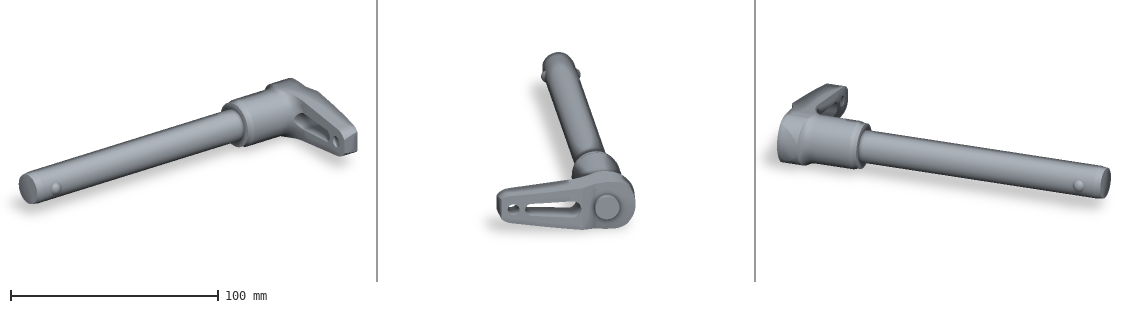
import cadquery as cq
import math

total_length = 166.2

pin_radius = 8.0
tip_radius = 7.5
tip_length = 3.5
ball_radius = 3.2
ball_reach = 9.6
ball_y = 11.0

collar_radius = 11.8
collar_end_radius = 11.1
collar_start_y = 124.2
collar_chamfer_y = 125.8
collar_body_y = 127.6
flare_start_y = 147.6
flare_radius = 5.8
flare_outer_radius = collar_radius + flare_radius
flare_top_y = flare_start_y + flare_radius

handle_width = 24.8
half_width = handle_width / 2
head_back_x = -15.1
head_arc_end_x = -4.2
blend_start_x = -1.3
head_top_y = 163.0
back_top_y = 163.7
back_bottom_y = 152.7
back_top_radius = 14.1
arm_end_x = 52.0
arm_end_top_x = 50.7
arm_end_half_width = 3.5
corner_bulge_x = 0.5
corner_bulge_z = 0.7
taper_start_x = 1.2
taper_start_half_width = 12.3
taper_end_x = 46.4
taper_end_half_width = 7.1
arm_end_y = 151.5
underside_end_x = 51.0
underside_back_y = 155.0
crest_x = 12.1
crest_y = 165.5
ramp_x = 5.8
arm_end_top_y = 160.4
arm_bulge_point = (31.5, 163.5)

slot_back_x = 12.6
slot_front_x = 39.5
slot_back_radius = 4.3
slot_front_radius = 3.2
hole_x = 45.0
hole_radius = 2.8

button_diameter = 11.8


def revolve_about_pin(sketch):
    """Close a (radius, y) outline and turn it about the pin axis."""
    return sketch.close().revolve(360, (0, 0, 0), (0, 1, 0))


def extrude_plan(sketch):
    """Close an (x, z) outline and extrude it along the full pin length."""
    return sketch.close().extrude(-total_length)


def make_pin():
    pin = revolve_about_pin(
        cq.Workplane("XY")
        .lineTo(tip_radius, 0)
        .lineTo(pin_radius, tip_length)
        .lineTo(pin_radius, collar_body_y)
        .lineTo(0, collar_body_y)
    )
    ball_x = ball_reach - ball_radius
    for side in (-1, 1):
        ball = cq.Workplane("XY").sphere(ball_radius).translate((side * ball_x, ball_y, 0))
        pin = pin.union(ball)
    return pin


def make_collar():
    return revolve_about_pin(
        cq.Workplane("XY")
        .moveTo(0, collar_start_y)
        .lineTo(collar_end_radius, collar_start_y)
        .lineTo(collar_end_radius, collar_chamfer_y)
        .lineTo(collar_radius, collar_body_y)
        .lineTo(collar_radius, flare_top_y)
        .lineTo(0, flare_top_y)
    )


def make_flare():
    """Concave quarter-round that joins the collar to the handle, continued up into the arm."""
    inset = flare_radius * math.sqrt(0.5)
    return revolve_about_pin(
        cq.Workplane("XY")
        .moveTo(0, flare_start_y)
        .lineTo(collar_radius, flare_start_y)
        .threePointArc(
            (flare_outer_radius - inset, flare_start_y + inset),
            (flare_outer_radius, flare_top_y),
        )
        .lineTo(flare_outer_radius, underside_back_y)
        .lineTo(0, underside_back_y)
    )


def make_plan():
    """Handle outline: round head, tapering arm and rounded arm end."""
    blend_middle_x = (blend_start_x + taper_start_x) / 2
    blend_half_width = half_width - (half_width - taper_start_half_width) / 4
    corner = (
        (taper_end_x + arm_end_x) / 2 + corner_bulge_x,
        (taper_end_half_width + arm_end_half_width) / 2 + corner_bulge_z,
    )
    return extrude_plan(
        cq.Workplane("XZ")
        .moveTo(head_arc_end_x, -half_width)
        .threePointArc((head_back_x, 0), (head_arc_end_x, half_width))
        .lineTo(blend_start_x, half_width)
        .threePointArc((blend_middle_x, blend_half_width), (taper_start_x, taper_start_half_width))
        .lineTo(taper_end_x, taper_end_half_width)
        .threePointArc(corner, (arm_end_x, arm_end_half_width))
        .lineTo(arm_end_x, -arm_end_half_width)
        .threePointArc((corner[0], -corner[1]), (taper_end_x, -taper_end_half_width))
        .lineTo(taper_start_x, -taper_start_half_width)
        .threePointArc((blend_middle_x, -blend_half_width), (blend_start_x, -half_width))
    )


def make_side_profile():
    """Handle outline seen across its width, with the raised crest behind the head."""
    return (
        cq.Workplane("XY")
        .moveTo(head_back_x, underside_back_y)
        .lineTo(underside_end_x, arm_end_y)
        .lineTo(arm_end_x, arm_end_y)
        .lineTo(arm_end_top_x, arm_end_top_y)
        .threePointArc(arm_bulge_point, (crest_x, crest_y))
        .lineTo(ramp_x, head_top_y)
        .lineTo(0, head_top_y)
        .lineTo(head_back_x, back_top_y)
        .close()
        .extrude(half_width, both=True)
    )


def make_back_cone():
    """Conical envelope that slopes the back of the head; the front half is left free."""
    cone = revolve_about_pin(
        cq.Workplane("XY")
        .moveTo(0, flare_start_y)
        .lineTo(-head_back_x, flare_start_y)
        .lineTo(-head_back_x, back_bottom_y)
        .lineTo(back_top_radius, back_top_y)
        .lineTo(0, back_top_y)
    )
    front = cq.Workplane("XZ").rect(arm_end_x, 2 * half_width).extrude(-total_length)
    return cone.union(front.translate((arm_end_x / 2, 0, 0)))


def make_slot():
    back_center = slot_back_x + slot_back_radius
    front_center = slot_front_x - slot_front_radius
    return extrude_plan(
        cq.Workplane("XZ")
        .moveTo(back_center, -slot_back_radius)
        .threePointArc((slot_back_x, 0), (back_center, slot_back_radius))
        .lineTo(front_center, slot_front_radius)
        .threePointArc((slot_front_x, 0), (front_center, -slot_front_radius))
    )


def make_handle():
    handle = make_side_profile().union(make_flare())
    handle = handle.intersect(make_plan()).intersect(make_back_cone())
    hole = cq.Workplane("XZ").center(hole_x, 0).circle(hole_radius).extrude(-total_length)
    return handle.cut(make_slot()).cut(hole)


def make_button():
    return (
        cq.Workplane("XZ", origin=(0, flare_top_y, 0))
        .circle(button_diameter / 2)
        .extrude(flare_top_y - total_length)
    )


result = make_pin().union(make_collar()).union(make_handle()).union(make_button())